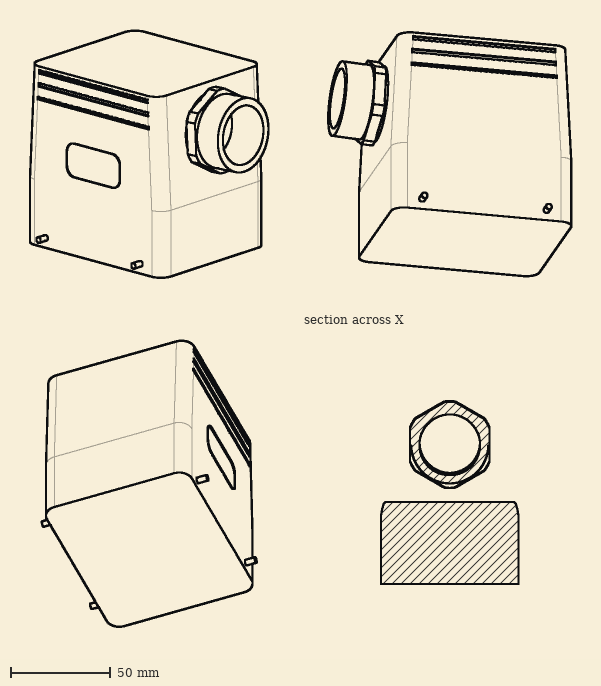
import cadquery as cq
import math

OVERALL_LENGTH = 114.1

HOOD_LENGTH = 93.6
HOOD_WIDTH = 78.9
HOOD_HEIGHT = 95.0
STRAIGHT_HEIGHT = 35.0
TAPER_ANGLE = 3.0
CORNER_RADIUS = 6.8

GROOVES = ((2.0, 1.7), (8.9, 1.8), (16.3, 1.3))
GROOVE_DEPTH = 1.0

PLATE_LENGTH = 36.1
PLATE_HEIGHT = 17.8
PLATE_RADIUS = 5.1
PLATE_DEPTH = 0.5
PLATE_CENTER_Z = 50.2

PIN_DIAMETER = 3.0
PIN_SPACING = 64.6
PIN_SPAN = 89.5
PIN_CENTER_Z = 5.4

GLAND_CENTER_Z = 70.1
COLLAR_DIAMETER = 39.0
COLLAR_LENGTH = 1.5
NUT_ACROSS_FLATS = 40.2
NUT_CORNER_DIAMETER = 43.6
NUT_THICKNESS = 5.8
SLEEVE_DIAMETER = 38.0
BORE_DIAMETER = 30.4
EMBED = 1.1

half_length = HOOD_LENGTH / 2
half_width = HOOD_WIDTH / 2
axis_run = math.cos(math.radians(TAPER_ANGLE))
axis_rise = math.sin(math.radians(TAPER_ANGLE))
taper_slope = axis_rise / axis_run


def half_length_at(z):
    """Distance from the centre to the tapered side at height z."""
    return half_length - taper_slope * max(0.0, z - STRAIGHT_HEIGHT)


def hood():
    top_half = half_length_at(HOOD_HEIGHT)
    return (
        cq.Workplane("XZ")
        .moveTo(-half_length, 0)
        .lineTo(half_length, 0)
        .lineTo(half_length, STRAIGHT_HEIGHT)
        .lineTo(top_half, HOOD_HEIGHT)
        .lineTo(-top_half, HOOD_HEIGHT)
        .lineTo(-half_length, STRAIGHT_HEIGHT)
        .close()
        .extrude(half_width, both=True)
        .edges("not(#Z or |Y)")
        .fillet(CORNER_RADIUS)
    )


def groove(side, drop, height):
    """Shallow groove across the flat of one Y side (side is -1 or +1)."""
    middle_z = HOOD_HEIGHT - drop - height / 2
    length = 2 * (half_length_at(middle_z) - CORNER_RADIUS)
    return cq.Workplane("XY").box(length, 2 * GROOVE_DEPTH, height).translate(
        (0, side * half_width, middle_z)
    )


def nameplate_recess():
    return (
        cq.Workplane("XY")
        .box(PLATE_LENGTH, 2 * PLATE_DEPTH, PLATE_HEIGHT)
        .edges("|Y")
        .fillet(PLATE_RADIUS)
        .translate((0, -half_width, PLATE_CENTER_Z))
    )


def pins():
    return (
        cq.Workplane("XZ", origin=(0, 0, PIN_CENTER_Z))
        .pushPoints([(-PIN_SPACING / 2, 0), (PIN_SPACING / 2, 0)])
        .circle(PIN_DIAMETER / 2)
        .extrude(PIN_SPAN / 2, both=True)
    )


def gland_plane(offset):
    """Plane square to the gland axis, offset outwards from the hood side."""
    axis = cq.Vector(axis_run, 0, axis_rise)
    seat = cq.Vector(half_length_at(GLAND_CENTER_Z), 0, GLAND_CENTER_Z)
    return cq.Workplane(
        cq.Plane(origin=seat + axis * offset, xDir=(0, 1, 0), normal=axis)
    )


def gland_length():
    """Length along the tilted axis that puts the sleeve's lower rim at the tip."""
    tip_x = OVERALL_LENGTH - half_length
    rim_reach = SLEEVE_DIAMETER / 2 * axis_rise
    return (tip_x - rim_reach - half_length_at(GLAND_CENTER_Z)) / axis_run


def gland():
    nut_end = COLLAR_LENGTH + NUT_THICKNESS
    collar = gland_plane(-EMBED).circle(COLLAR_DIAMETER / 2).extrude(EMBED + COLLAR_LENGTH)
    nut_plane = gland_plane(COLLAR_LENGTH)
    nut_corner_limit = nut_plane.circle(NUT_CORNER_DIAMETER / 2).extrude(NUT_THICKNESS)
    nut = (
        nut_plane.polygon(6, NUT_ACROSS_FLATS, circumscribed=True)
        .extrude(NUT_THICKNESS)
        .intersect(nut_corner_limit)
    )
    sleeve = gland_plane(nut_end).circle(SLEEVE_DIAMETER / 2).extrude(gland_length() - nut_end)
    bore = gland_plane(0).circle(BORE_DIAMETER / 2).extrude(gland_length())
    return collar.union(nut).union(sleeve).cut(bore)


result = hood()
for drop, height in GROOVES:
    for side in (-1, 1):
        result = result.cut(groove(side, drop, height))
result = result.cut(nameplate_recess()).union(pins()).union(gland())